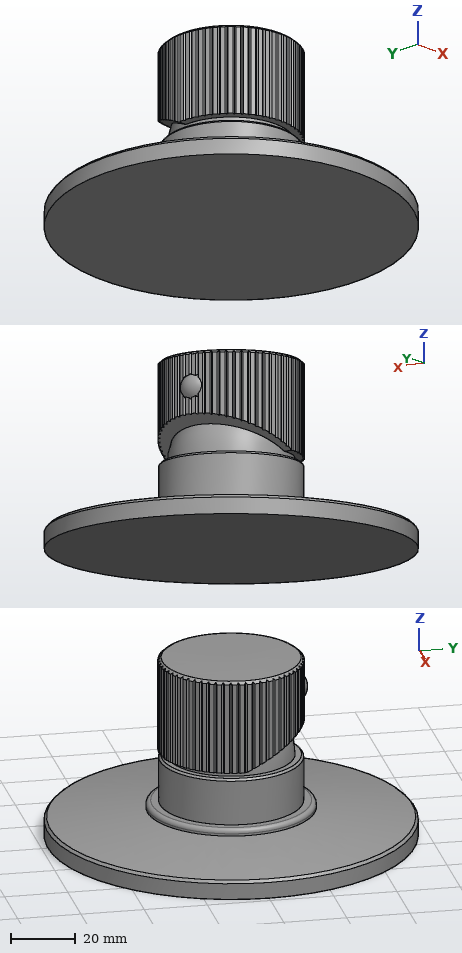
import cadquery as cq
import math

PLATE_RADIUS = 58.0
RIM_HEIGHT = 5.2
RIM_BEVEL_WIDTH = 0.8
RIM_BEVEL_HEIGHT = 0.9
DOME_APEX_Z = 10.2

COLLAR_RADIUS = 26.5
COLLAR_TOP_Z = 11.6
COLLAR_FILLET = 1.5
BODY_RADIUS = 22.5
BODY_TOP_Z = 26.7
BODY_CHAMFER = 0.7

BALL_RADIUS = 19.8

KNOB_RADIUS = 22.7
KNOB_BOTTOM_Z = 28.7
KNOB_EDGE_Z = 58.7
KNOB_APEX_Z = 59.0
KNOB_BEVEL_WIDTH = 1.0
KNOB_BEVEL_HEIGHT = 0.9
FLUTE_COUNT = 60
FLUTE_WIDTH = 0.9
FLUTE_DEPTH = 0.6
RELIEF_ANGLE = 24.5

BUTTON_TIP_Y = 24.1
BUTTON_RADIUS = 5.3
BUTTON_Z = 47.7


def crown_midpoint(edge_radius, edge_z, apex_z):
    """Point halfway out on the arc that is level at the apex and ends at the edge."""
    drop = apex_z - edge_z
    arc_radius = (edge_radius**2 + drop**2) / (2 * drop)
    mid_radius = edge_radius / 2
    mid_z = apex_z - arc_radius + math.sqrt(arc_radius**2 - mid_radius**2)
    return mid_radius, mid_z


def crowned_disc(radius, bottom_z, edge_z, apex_z, bevel_width, bevel_height):
    """Disc about the Z axis with a bevelled top edge and a spherical crown."""
    crown_radius = radius - bevel_width
    return (
        cq.Workplane("XZ")
        .moveTo(0, bottom_z)
        .lineTo(radius, bottom_z)
        .lineTo(radius, edge_z - bevel_height)
        .lineTo(crown_radius, edge_z)
        .threePointArc(crown_midpoint(crown_radius, edge_z, apex_z), (0, apex_z))
        .close()
        .revolve(360, (0, 0), (0, 1))
    )


def make_base():
    """Domed plate with the collar and the cylindrical body."""
    dome_edge_z = RIM_HEIGHT + RIM_BEVEL_HEIGHT
    plate = crowned_disc(
        PLATE_RADIUS, 0, dome_edge_z, DOME_APEX_Z, RIM_BEVEL_WIDTH, RIM_BEVEL_HEIGHT
    )
    collar = cq.Workplane("XY").circle(COLLAR_RADIUS).extrude(COLLAR_TOP_Z)
    collar = collar.faces(">Z").edges().fillet(COLLAR_FILLET)
    body = cq.Workplane("XY").circle(BODY_RADIUS).extrude(BODY_TOP_Z)
    body = body.faces(">Z").edges().chamfer(BODY_CHAMFER)
    return plate.union(collar).union(body)


def make_flutes():
    """V-shaped cutters, evenly spaced around the knob and running its full height."""
    root_radius = KNOB_RADIUS - FLUTE_DEPTH
    mouth_radius = KNOB_RADIUS + FLUTE_DEPTH
    half_mouth = FLUTE_WIDTH
    flute = (
        cq.Workplane("XY")
        .workplane(offset=KNOB_BOTTOM_Z)
        .polyline([(root_radius, 0), (mouth_radius, half_mouth), (mouth_radius, -half_mouth)])
        .close()
        .extrude(KNOB_APEX_Z - KNOB_BOTTOM_Z)
    )
    places = cq.Workplane("XY").polarArray(0, 0, 360, FLUTE_COUNT)
    return places.eachpoint(lambda place: flute.val().moved(place))


def make_relief():
    """Wedge that slopes the underside of the knob up from the axis toward +Y."""
    reach = 2 * KNOB_RADIUS
    rise = reach * math.tan(math.radians(RELIEF_ANGLE))
    return (
        cq.Workplane("YZ")
        .polyline([(0, KNOB_BOTTOM_Z), (reach, KNOB_BOTTOM_Z), (reach, KNOB_BOTTOM_Z + rise)])
        .close()
        .extrude(reach, both=True)
    )


def make_knob():
    """Fluted knob with its sloped underside and marker button."""
    knob = crowned_disc(
        KNOB_RADIUS, KNOB_BOTTOM_Z, KNOB_EDGE_Z, KNOB_APEX_Z, KNOB_BEVEL_WIDTH, KNOB_BEVEL_HEIGHT
    )
    button = cq.Workplane("XY").sphere(BUTTON_RADIUS).translate((0, BUTTON_TIP_Y - BUTTON_RADIUS, BUTTON_Z))
    return knob.cut(make_flutes()).cut(make_relief()).union(button)


def make_ball():
    """Ball centred on the top of the body, filling the gap up to the knob."""
    return cq.Workplane("XY").sphere(BALL_RADIUS).translate((0, 0, BODY_TOP_Z))


result = make_base().union(make_ball()).union(make_knob())